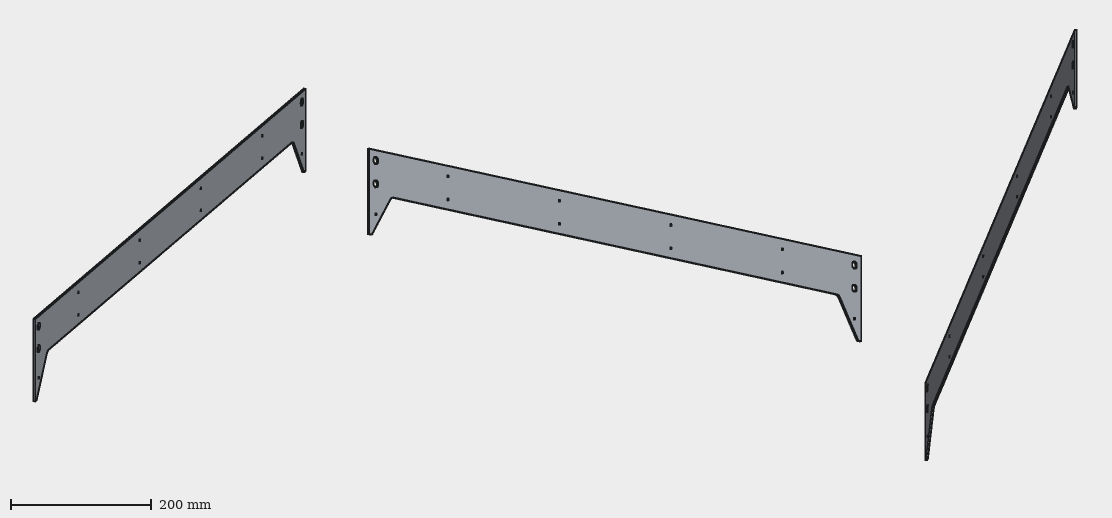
import cadquery as cq
import math

thickness = 3.0
tilt = 30
span_y = 957
length = (span_y - thickness * math.sin(math.radians(tilt))) / math.cos(math.radians(tilt))
height = 123.0
half_length = length / 2

beam_depth = 63.0
foot_width = 7.0
leg_root_width = 51.0
leg_fillet = 10

end_hole_diameter = 11.0
end_hole_inset = 15.0
hole_row_depths = (15.0, 49.0)
leg_hole_diameter = 3.0
leg_hole_depth = 93.0
small_hole_diameter = 3.0
small_hole_pitch = 250.0
small_hole_columns = 4


def make_plate():
    """Beam with a tapered leg at each end, top edge at Z = 0."""
    root_x = half_length - leg_root_width
    foot_x = half_length - foot_width
    outline = [
        (-half_length, 0),
        (half_length, 0),
        (half_length, -height),
        (foot_x, -height),
        (root_x, -beam_depth),
        (-root_x, -beam_depth),
        (-foot_x, -height),
        (-half_length, -height),
    ]
    plate = cq.Workplane("XZ").polyline(outline).close().extrude(thickness / 2, both=True)
    root_edges = cq.selectors.BoxSelector(
        (-half_length, -thickness, -beam_depth - leg_fillet / 2),
        (half_length, thickness, -beam_depth + leg_fillet / 2),
    )
    inner_edges = plate.edges("|Y").edges(root_edges)
    return inner_edges.fillet(leg_fillet)


def make_holes(points, diameter):
    """Pins through the plate at the given (along, height) points."""
    return cq.Workplane("XZ").pushPoints(points).circle(diameter / 2).extrude(thickness, both=True)


end_columns = [side * (half_length - end_hole_inset) for side in (-1, 1)]
small_columns = [
    (column - (small_hole_columns - 1) / 2) * small_hole_pitch for column in range(small_hole_columns)
]
end_holes = [(x, -depth) for x in end_columns for depth in hole_row_depths]
leg_holes = [(x, -leg_hole_depth) for x in end_columns]
small_holes = [(x, -depth) for x in small_columns for depth in hole_row_depths]

plate = make_plate()
plate = plate.cut(make_holes(end_holes, end_hole_diameter))
plate = plate.cut(make_holes(leg_holes, leg_hole_diameter))
plate = plate.cut(make_holes(small_holes, small_hole_diameter))

result = plate.rotate((0, 0, 0), (0, 0, 1), tilt - 90)